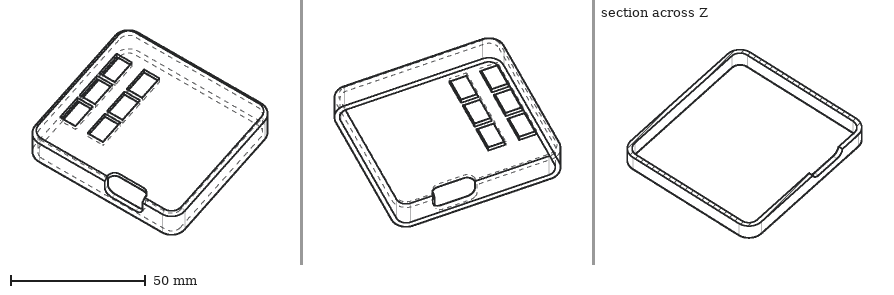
import cadquery as cq

length = 68.0
width = 63.0
height = 13.0
corner_radius = 6.0
top_chamfer = 1.5
wall = 2.0

window_length = 7.0
window_width = 11.0
window_pitch = 12.5
window_columns = 2
window_rows = 3
window_margin = 5.9

opening_width = 17.0
opening_center_x = 10.5
opening_bottom = 3.95
opening_reach = 4.95
opening_radius = 3.1


def make_shell():
    outer = (
        cq.Workplane("XY")
        .box(length, width, height, centered=(True, True, False))
        .edges("|Z")
        .fillet(corner_radius)
        .faces(">Z")
        .chamfer(top_chamfer)
    )
    cavity = (
        cq.Workplane("XY")
        .box(length - 2 * wall, width - 2 * wall, height - wall, centered=(True, True, False))
        .edges("|Z")
        .fillet(corner_radius - wall)
    )
    return outer.cut(cavity)


def make_windows():
    first_column_x = -length / 2 + window_margin + window_length / 2
    grid_center_x = first_column_x + (window_columns - 1) * window_pitch / 2
    return (
        cq.Workplane("XY")
        .center(grid_center_x, 0)
        .rarray(window_pitch, window_pitch, window_columns, window_rows)
        .rect(window_length, window_width)
        .extrude(height)
    )


def make_opening():
    return (
        cq.Workplane("XY")
        .box(opening_width, opening_reach, height - opening_bottom, centered=(True, False, False))
        .edges("|Y and <Z")
        .fillet(opening_radius)
        .edges("|Z and >Y")
        .fillet(opening_radius)
        .translate((opening_center_x, -width / 2, opening_bottom))
    )


result = make_shell().cut(make_windows()).cut(make_opening())